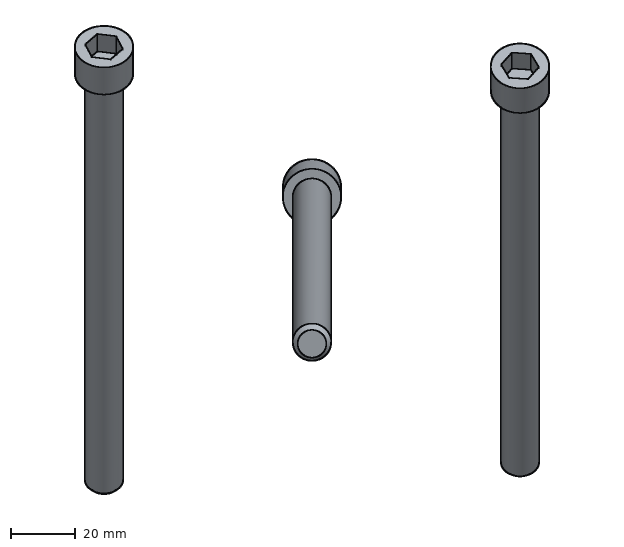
import cadquery as cq
import math

total_length = 192.0
shank_diameter = 12.0
head_diameter = 18.0
head_height = shank_diameter
socket_across_flats = 10.2
socket_depth = 7.7
tip_chamfer_height = 2.0
tip_chamfer_width = 1.5

shank_length = total_length - head_height
socket_across_corners = socket_across_flats / math.cos(math.radians(30))


def make_shank():
    """Plain cylinder with a chamfered lower end."""
    shank = cq.Workplane("XY").circle(shank_diameter / 2).extrude(shank_length)
    return shank.faces("<Z").chamfer(tip_chamfer_height, tip_chamfer_width)


def make_head():
    """Cylindrical head seated on top of the shank."""
    head = cq.Workplane("XY").workplane(offset=shank_length)
    return head.circle(head_diameter / 2).extrude(head_height)


def make_socket():
    """Hexagonal key socket, with two corners on the X axis."""
    socket = cq.Workplane("XY").workplane(offset=total_length)
    return socket.polygon(6, socket_across_corners).extrude(-socket_depth)


result = make_shank().union(make_head()).cut(make_socket())